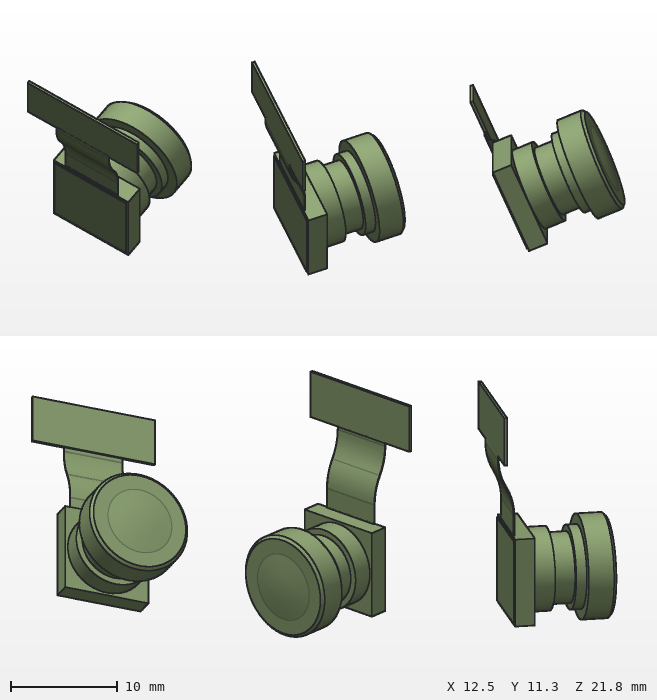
import cadquery as cq
import math


head_radius = 5.0
barrel_radius = 4.0
neck_radius = 3.4
base_length = 2.0
neck_length = 2.0
collar_length = 1.0
head_length = 2.7
head_edge_chamfer = 0.28
dome_radius = 3.26
dome_height = 0.28

housing_side = 8.5
housing_depth = 1.9
plate_side = 8.1
plate_depth = 0.1

ribbon_width = 5.98
ribbon_thickness = 0.1
ribbon_center_y = -1.76
bend_offset = 1.5
bend_start_z = 6.25
bend_height = 5.5

tab_width = 12.5
tab_height = 4.61
tab_top_z = 16.75
stiffener_thickness = 0.17

housing_top_z = housing_side / 2
bend_end_z = bend_start_z + bend_height
tab_center_y = ribbon_center_y - bend_offset
tab_bottom_z = tab_top_z - tab_height
tab_front_y = tab_center_y + ribbon_thickness / 2

bend_radius = (bend_height**2 + bend_offset**2) / (4 * bend_offset)
bend_angle = math.asin(bend_height / 2 / bend_radius)


def cylinder_along_y(radius, start_y, length):
    return cq.Workplane("XZ", origin=(0, start_y, 0)).circle(radius).extrude(-length)


def square_along_y(side, start_y, depth):
    """Square block reaching from start_y toward -Y."""
    return cq.Workplane("XZ", origin=(0, start_y, 0)).rect(side, side).extrude(depth)


def make_lens():
    neck_y = base_length
    collar_y = neck_y + neck_length
    head_y = collar_y + collar_length
    front_y = head_y + head_length

    base = cylinder_along_y(barrel_radius, 0, base_length)
    neck = cylinder_along_y(neck_radius, neck_y, neck_length)
    collar = cylinder_along_y(barrel_radius, collar_y, collar_length)
    head = cylinder_along_y(head_radius, head_y, head_length)
    head = head.faces(">Y").edges().chamfer(head_edge_chamfer)

    sphere_radius = (dome_radius**2 + dome_height**2) / (2 * dome_height)
    half_angle = math.asin(dome_radius / sphere_radius) / 2
    arc_middle = (
        sphere_radius * math.sin(half_angle),
        front_y + dome_height - sphere_radius * (1 - math.cos(half_angle)),
    )
    dome = (
        cq.Workplane("XY")
        .moveTo(0, front_y)
        .lineTo(dome_radius, front_y)
        .threePointArc(arc_middle, (0, front_y + dome_height))
        .close()
        .revolve(360, (0, 0, 0), (0, 1, 0))
    )
    return base.union(neck).union(collar).union(head).union(dome)


def make_housing():
    housing = square_along_y(housing_side, 0, housing_depth)
    plate = square_along_y(plate_side, -housing_depth, plate_depth)
    return housing.union(plate)


def lower_bend_point(offset, angle):
    """(Y, Z) on the lower arc, shifted toward +Y by offset from the ribbon's middle."""
    radius = bend_radius + offset
    center_y = ribbon_center_y - bend_radius
    return center_y + radius * math.cos(angle), bend_start_z + radius * math.sin(angle)


def upper_bend_point(offset, angle):
    """(Y, Z) on the upper arc, shifted toward +Y by offset from the ribbon's middle."""
    radius = bend_radius - offset
    center_y = tab_center_y + bend_radius
    return center_y - radius * math.cos(angle), bend_end_z - radius * math.sin(angle)


def make_ribbon():
    front = ribbon_thickness / 2
    back = -front
    half_angle = bend_angle / 2
    return (
        cq.Workplane("YZ")
        .moveTo(ribbon_center_y + front, housing_top_z)
        .lineTo(*lower_bend_point(front, 0))
        .threePointArc(lower_bend_point(front, half_angle), lower_bend_point(front, bend_angle))
        .threePointArc(upper_bend_point(front, half_angle), upper_bend_point(front, 0))
        .lineTo(tab_center_y + front, tab_bottom_z)
        .lineTo(tab_center_y + back, tab_bottom_z)
        .lineTo(*upper_bend_point(back, 0))
        .threePointArc(upper_bend_point(back, half_angle), upper_bend_point(back, bend_angle))
        .threePointArc(lower_bend_point(back, half_angle), lower_bend_point(back, 0))
        .lineTo(ribbon_center_y + back, housing_top_z)
        .close()
        .extrude(ribbon_width / 2, both=True)
    )


def make_tab():
    """Wide end of the ribbon together with the stiffener on its front side."""
    tab_thickness = ribbon_thickness + stiffener_thickness
    tab_middle_y = tab_front_y + stiffener_thickness - tab_thickness / 2
    tab_middle_z = tab_top_z - tab_height / 2
    tab = cq.Workplane("XY").box(tab_width, tab_thickness, tab_height)
    return tab.translate((0, tab_middle_y, tab_middle_z))


result = make_lens().union(make_housing()).union(make_ribbon()).union(make_tab())